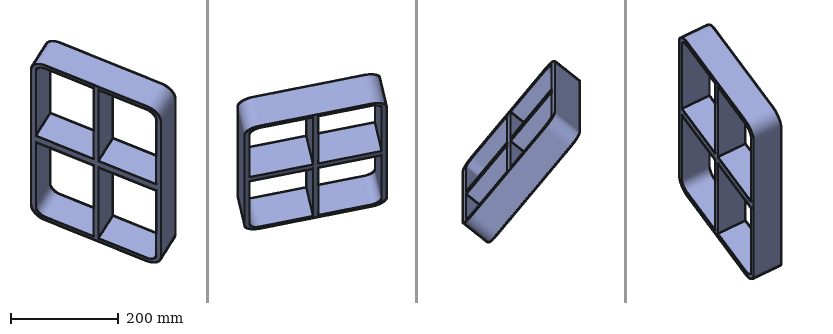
import cadquery as cq

width = 271.0
depth = 60.0
height = 476.0

wall = 10.0
outer_radius = 30.0
inner_radius = outer_radius - wall
upright_thickness = wall
crossbar_thickness = 2 * wall


def upright_block(size_x, size_z, corner_radius):
    """Block centred on the origin, full depth, with rounded corners in the XZ plane."""
    return cq.Workplane("XY").box(size_x, depth, size_z).edges("|Y").fillet(corner_radius)


inner_width = width - 2 * wall
inner_height = height - 2 * wall
rim = upright_block(width, height, outer_radius).cut(
    upright_block(inner_width, inner_height, inner_radius)
)

upright = cq.Workplane("XY").box(upright_thickness, depth, height - wall)
crossbar = cq.Workplane("XY").box(width - wall, depth, crossbar_thickness)

result = rim.union(upright).union(crossbar)